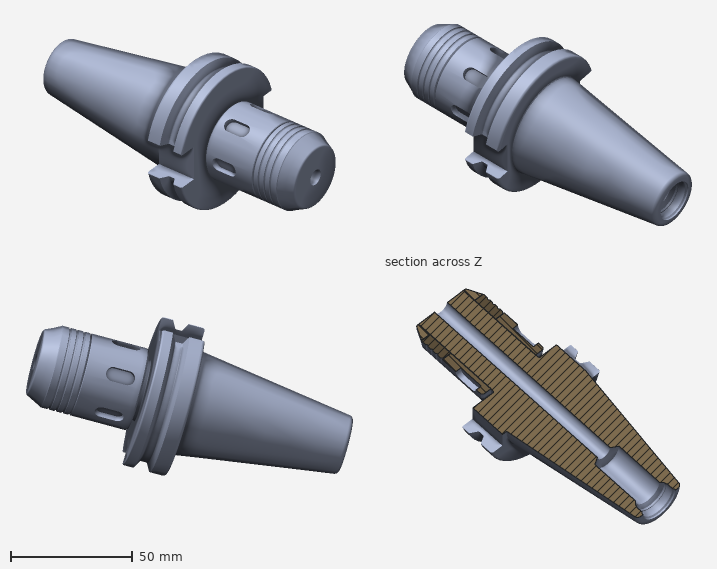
import cadquery as cq
import math

TOTAL_LENGTH = 133.2
TAPER_END = 68.2
FLANGE_START = 68.9
FLANGE_END = 87.1
SLEEVE_START = 89.0
RING_START = 113.7
NOSE_START = 126.5

GAUGE_DIAMETER = 44.5
TAPER_RATIO = 7 / 24
SMALL_END_ROUND = 2.0

MOUTH_DIAMETER = 18.0
MOUTH_DEPTH = 0.7
THREAD_DIAMETER = 17.0
THREAD_START = 1.3
THREAD_END = 4.8
RELIEF_DIAMETER = 16.3
RELIEF_END = 5.7
PILOT_DIAMETER = 13.5
PILOT_START = 7.3
PILOT_END = 32.0
COOLANT_DIAMETER = 7.0
DRILL_POINT_ANGLE = 118.0

FLANGE_DIAMETER = 63.3
SHANK_SIDE_ROUND = 1.2
CHUCK_SIDE_ROUND = 0.8
ROOT_ROUND = 0.4
VEE_CENTER = 79.2
VEE_FLOOR_DIAMETER = 56.2
VEE_FLOOR_WIDTH = 3.0
VEE_ANGLE = 60.0
VEE_ROOT_ROUND = 0.4
KEYWAY_WIDTH = 16.1
KEYWAY_CHAMFER = 0.2
KEYWAY_FLOOR_PLUS_Y = 24.7
KEYWAY_FLOOR_MINUS_Y = 22.4

CORE_DIAMETER = 25.5
CHUCK_DIAMETER = 34.9
CHUCK_CHAMFER = 0.8
JOINT_CHAMFER = 0.3
SLOT_COUNT = 6
SLOT_CENTER = 99.0
SLOT_LENGTH = 12.3
SLOT_WIDTH = 6.0
SLOT_FLOOR_RADIUS = 14.7
GROOVE_FIRST = 116.9
GROOVE_LAST = 122.9
GROOVE_COUNT = 3
GROOVE_WIDTH = 1.0
NOSE_BASE_DIAMETER = CHUCK_DIAMETER - 2 * JOINT_CHAMFER
NOSE_TIP_DIAMETER = 27.7
NOSE_ROUND = 1.0


def revolved(profile):
    """Revolve a closed XY profile, drawn as (x, radius), around the X axis."""
    return profile.close().revolve(360, (0, 0, 0), (1, 0, 0))


def chuck_tube(start, end):
    """Tube around the holder core with both outer edges chamfered."""
    blank = (
        cq.Workplane("YZ", origin=(start, 0, 0))
        .circle(CHUCK_DIAMETER / 2)
        .circle(CORE_DIAMETER / 2)
        .extrude(end - start)
    )
    outer_edge = cq.selectors.RadiusNthSelector(-1)
    blank = blank.faces("<X").edges(outer_edge).chamfer(CHUCK_CHAMFER)
    return blank.faces(">X").edges(outer_edge).chamfer(JOINT_CHAMFER)


def taper_shank():
    small_end_diameter = GAUGE_DIAMETER - TAPER_RATIO * TAPER_END
    cone = revolved(
        cq.Workplane("XY").polyline([
            (0, 0),
            (0, small_end_diameter / 2),
            (TAPER_END, GAUGE_DIAMETER / 2),
            (FLANGE_START, GAUGE_DIAMETER / 2),
            (FLANGE_START, 0),
        ])
    )
    return cone.faces("<X").edges().fillet(SMALL_END_ROUND)


def vee_groove():
    floor = VEE_FLOOR_DIAMETER / 2
    rim = FLANGE_DIAMETER / 2
    half_floor = VEE_FLOOR_WIDTH / 2
    half_mouth = half_floor + (rim - floor) * math.tan(math.radians(VEE_ANGLE / 2))
    groove = revolved(
        cq.Workplane("XY").polyline([
            (VEE_CENTER - half_floor, floor),
            (VEE_CENTER - half_mouth, rim),
            (VEE_CENTER + half_mouth, rim),
            (VEE_CENTER + half_floor, floor),
        ])
    )
    return groove.edges(cq.selectors.RadiusNthSelector(0)).fillet(VEE_ROOT_ROUND)


def keyway(floor_distance, side):
    """Drive slot across the flange; side is +1 for +Y and -1 for -Y."""
    depth = FLANGE_DIAMETER / 2 - floor_distance
    width = FLANGE_END - FLANGE_START
    return cq.Workplane("XY").box(width, depth, KEYWAY_WIDTH).translate(
        ((FLANGE_START + FLANGE_END) / 2, side * (floor_distance + depth / 2), 0)
    )


def flange():
    disc = (
        cq.Workplane("YZ", origin=(FLANGE_START, 0, 0))
        .circle(FLANGE_DIAMETER / 2)
        .extrude(FLANGE_END - FLANGE_START)
        .cut(keyway(KEYWAY_FLOOR_PLUS_Y, 1))
        .cut(keyway(KEYWAY_FLOOR_MINUS_Y, -1))
    )
    half_width = KEYWAY_WIDTH / 2
    half_rim = math.sqrt((FLANGE_DIAMETER / 2) ** 2 - half_width ** 2)
    for z in (half_width, -half_width):
        for y in (half_rim, -half_rim):
            rim_edge = cq.selectors.NearestToPointSelector(((FLANGE_START + FLANGE_END) / 2, y, z))
            disc = disc.edges(rim_edge).chamfer(KEYWAY_CHAMFER)
    disc = disc.faces("<X").edges("%CIRCLE").fillet(SHANK_SIDE_ROUND)
    disc = disc.faces(">X").edges("%CIRCLE").fillet(CHUCK_SIDE_ROUND)
    return disc.cut(vee_groove())


def axial_hole():
    """Stepped drawbar hole that narrows to a coolant hole running through the holder."""
    pilot = PILOT_DIAMETER / 2
    coolant = COOLANT_DIAMETER / 2
    point_length = (pilot - coolant) / math.tan(math.radians(DRILL_POINT_ANGLE / 2))
    return revolved(
        cq.Workplane("XY").polyline([
            (0, 0),
            (0, MOUTH_DIAMETER / 2),
            (MOUTH_DEPTH, MOUTH_DIAMETER / 2),
            (THREAD_START, THREAD_DIAMETER / 2),
            (THREAD_END, THREAD_DIAMETER / 2),
            (THREAD_END, RELIEF_DIAMETER / 2),
            (RELIEF_END, RELIEF_DIAMETER / 2),
            (PILOT_START, pilot),
            (PILOT_END, pilot),
            (PILOT_END + point_length, coolant),
            (TOTAL_LENGTH, coolant),
            (TOTAL_LENGTH, 0),
        ])
    )


def root_round(x, diameter, direction):
    """Concave ring that blends a cylinder into a flange face at x; it reaches along X in direction."""
    radius = diameter / 2
    profile = (
        cq.Workplane("XY")
        .moveTo(x, radius)
        .lineTo(x, radius + ROOT_ROUND)
        .radiusArc((x + direction * ROOT_ROUND, radius), -direction * ROOT_ROUND)
    )
    return revolved(profile)


def make_holder():
    core = (
        cq.Workplane("YZ", origin=(FLANGE_END, 0, 0))
        .circle(CORE_DIAMETER / 2)
        .extrude(TOTAL_LENGTH - FLANGE_END)
    )
    return (
        taper_shank()
        .union(flange())
        .union(core)
        .union(root_round(FLANGE_START, GAUGE_DIAMETER, -1))
        .union(root_round(FLANGE_END, CORE_DIAMETER, 1))
        .cut(axial_hole())
    )


def wrench_slot(angle):
    """Flat-floored obround pocket; at angle 0 it opens towards +Y."""
    return (
        cq.Workplane("XZ", origin=(SLOT_CENTER, SLOT_FLOOR_RADIUS, 0))
        .slot2D(SLOT_LENGTH, SLOT_WIDTH)
        .extrude(-CHUCK_DIAMETER / 2)
        .rotate((0, 0, 0), (1, 0, 0), angle)
    )


def make_sleeve():
    sleeve = chuck_tube(SLEEVE_START, RING_START)
    for index in range(SLOT_COUNT):
        sleeve = sleeve.cut(wrench_slot(index * 360 / SLOT_COUNT))
    return sleeve


def make_ring():
    ring = chuck_tube(RING_START, NOSE_START)
    pitch = (GROOVE_LAST - GROOVE_FIRST) / (GROOVE_COUNT - 1)
    for index in range(GROOVE_COUNT):
        groove = (
            cq.Workplane("XY")
            .center(GROOVE_FIRST + index * pitch, CHUCK_DIAMETER / 2)
            .circle(GROOVE_WIDTH / 2)
            .revolve(360, (0, -CHUCK_DIAMETER / 2, 0), (1, -CHUCK_DIAMETER / 2, 0))
        )
        ring = ring.cut(groove)
    return ring


def make_nose():
    core = CORE_DIAMETER / 2
    nose = revolved(
        cq.Workplane("XY").polyline([
            (NOSE_START, core),
            (NOSE_START, NOSE_BASE_DIAMETER / 2),
            (TOTAL_LENGTH, NOSE_TIP_DIAMETER / 2),
            (TOTAL_LENGTH, core),
        ])
    )
    return nose.faces(">X").edges(cq.selectors.RadiusNthSelector(-1)).fillet(NOSE_ROUND)


holder = make_holder()
sleeve = make_sleeve()
ring = make_ring()
nose = make_nose()

result = cq.Compound.makeCompound([holder.val(), sleeve.val(), ring.val(), nose.val()])